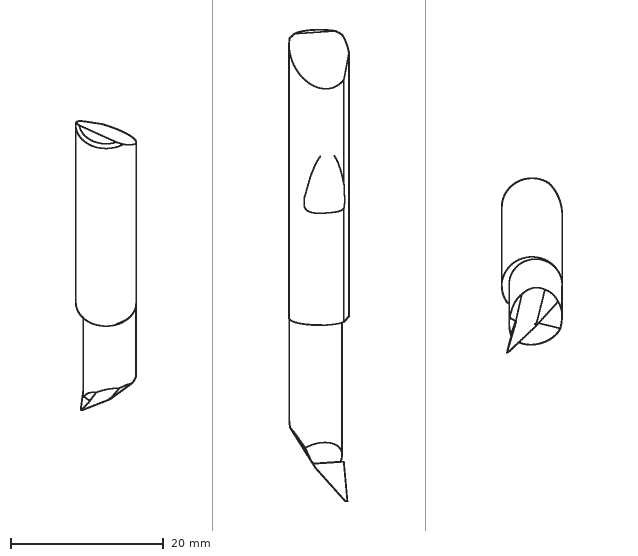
import cadquery as cq
import math

length = 63.15
shank_radius = 4.0
shank_bottom = 25.1
rim_chamfer = 0.45

bevel_start_y = -2.15

flat_edge_angles = (129.0, 176.5)

notch_floor_y = 2.8
notch_bottom = 40.2
notch_deepest_z = 42.0
notch_top = 48.5
notch_corner_radius = 1.0

neck_radius = 3.5
neck_offset_x = shank_radius - neck_radius
neck_offset_y = 0.05
tip_height = 5.35
tip_x = -3.55
neck_bevel_start_z = 5.55

clearance_point = (tip_x, 0, 0)
clearance_normal = (1.18, -1.55, -1)
heel_point = (0.3, 0, 4.4)
heel_normal = (1.65, -0.96, -1)
back_normal = (1.65, 0, -1)
relief_point = clearance_point
relief_normal = (0.2, -1, -0.42)
shoulder_point = (-2.95, -0.5, tip_height)
shoulder_normal = (-0.85, -1, -1)
flank_point = (-3.35, 0, tip_height)
flank_normal = (-0.88, -1, 0.08)

block_size = 3 * length


def grind(body, point, outward_normal):
    """Remove everything on the outward side of a plane."""
    plane = cq.Plane(origin=point, normal=outward_normal)
    block = cq.Workplane(plane).rect(block_size, block_size).extrude(block_size)
    return body.cut(block)


def make_shank():
    shank = cq.Workplane("XY").workplane(offset=shank_bottom).circle(shank_radius)
    shank = shank.extrude(length - shank_bottom).faces(">Z").chamfer(rim_chamfer)
    shank = grind(shank, (0, bevel_start_y, length), (0, 1, 1))

    first, second = [math.radians(angle) for angle in flat_edge_angles]
    middle = (first + second) / 2
    flat_distance = shank_radius * math.cos((second - first) / 2)
    flat_normal = (math.cos(middle), math.sin(middle), 0)
    flat_point = (flat_distance * math.cos(middle), flat_distance * math.sin(middle), 0)
    shank = grind(shank, flat_point, flat_normal)
    return shank.cut(make_notch())


def make_notch():
    notch = (
        cq.Workplane("YZ")
        .moveTo(shank_radius, notch_bottom)
        .lineTo(notch_floor_y + notch_corner_radius, notch_bottom)
        .radiusArc((notch_floor_y, notch_bottom + notch_corner_radius), notch_corner_radius)
        .lineTo(notch_floor_y, notch_deepest_z)
        .lineTo(shank_radius, notch_top)
        .close()
    )
    return notch.extrude(shank_radius, both=True)


def make_neck():
    neck = cq.Workplane("XY").workplane(offset=tip_height).center(neck_offset_x, neck_offset_y)
    neck = neck.circle(neck_radius).extrude(shank_bottom - tip_height)
    neck = grind(neck, (0, 0, neck_bevel_start_z), (0, 1, -1))
    neck = grind(neck, relief_point, relief_normal)
    return grind(neck, shoulder_point, shoulder_normal)


def make_tip():
    """Pointed tip with its rake face on the plane Y = 0."""
    tip = cq.Workplane("XY").box(
        2 * shank_radius, shank_radius, tip_height, centered=(True, False, False)
    )
    tip = tip.translate((0, -shank_radius, 0))
    return grind(tip, flank_point, flank_normal)


cutter = make_neck().union(make_tip())
cutter = grind(cutter, clearance_point, clearance_normal)
cutter = grind(cutter, heel_point, heel_normal)
cutter = grind(cutter, heel_point, back_normal)

result = make_shank().union(cutter)